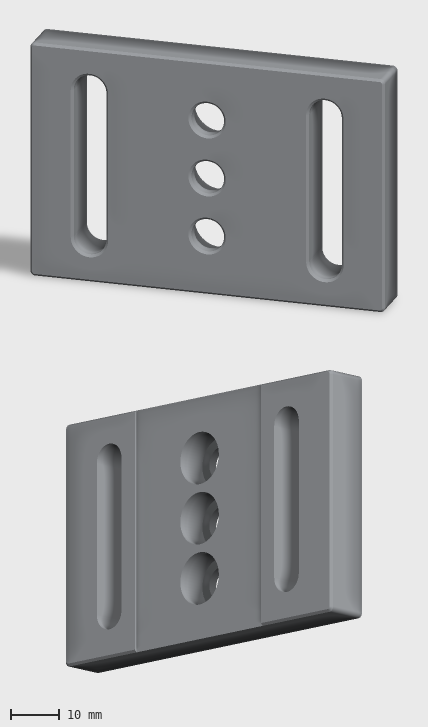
import cadquery as cq

length = 76.2
thickness = 9.5
height = 50.8
corner_radius = 1.0
edge_chamfer = 0.5

channel_width = 36.0
channel_depth = edge_chamfer

bore_diameter = 7.0
counterbore_diameter = 11.0
counterbore_floor = 2.5
hole_pitch = 12.65
slot_spacing = 50.6
slot_length = 39.0

front_y = -thickness / 2
back_y = thickness / 2


def make_plate():
    plate = cq.Workplane("XY").box(length, thickness, height)
    plate = plate.edges("|Y").fillet(corner_radius)
    return plate.faces("<Y or >Y").chamfer(edge_chamfer)


def make_channel():
    channel = cq.Workplane("XY").box(channel_width, 2 * channel_depth, height)
    return channel.translate((0, back_y, 0))


front = cq.Workplane("XZ", origin=(0, front_y, 0))
hole_points = [(0, row * hole_pitch) for row in (-1, 0, 1)]
holes = front.pushPoints(hole_points).circle(bore_diameter / 2).extrude(-thickness)

back = cq.Workplane("XZ", origin=(0, back_y, 0))
counterbores = back.pushPoints(hole_points).circle(counterbore_diameter / 2)
counterbores = counterbores.extrude(thickness - counterbore_floor)

slots = front.pushPoints([(side * slot_spacing / 2, 0) for side in (-1, 1)])
slots = slots.slot2D(slot_length, bore_diameter, 90).extrude(-thickness)


def chamfer_mouths(body):
    """Chamfer the hole and slot mouths on the front face."""
    mouths = [edge for wire in body.faces("<Y").val().innerWires() for edge in wire.Edges()]
    return body.newObject(mouths).chamfer(edge_chamfer)


result = make_plate()
for cutter in (make_channel(), holes, counterbores, slots):
    result = result.cut(cutter)
result = chamfer_mouths(result)